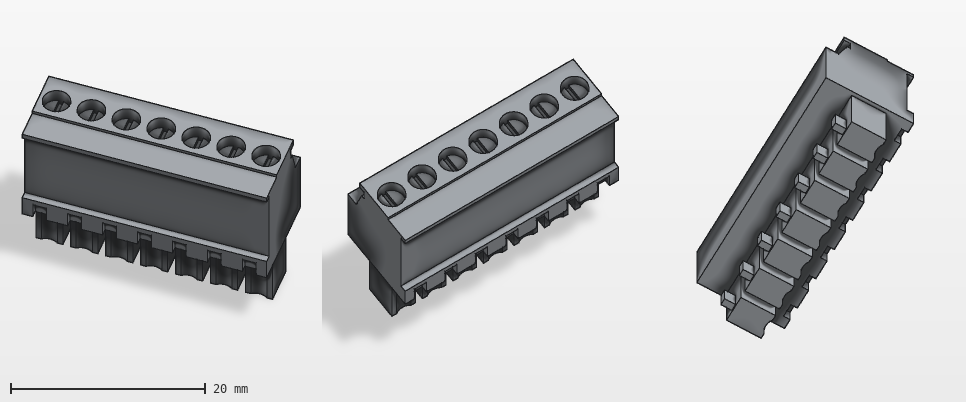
import cadquery as cq

LENGTH = 26.67
CONTACT_COUNT = 7
PITCH = LENGTH / CONTACT_COUNT

TOTAL_HEIGHT = 19.1
FRONT_LIP_TOP = 18.75
REAR_LIP_BOTTOM = 18.32
FRONT_LIP_BOTTOM = 18.15
SLOPE_TOP = 17.12
SHOULDER_HEIGHT = 14.22
FOOT_TOP = 9.07
HOUSING_BOTTOM = 6.6

TOTAL_DEPTH = 10.4
SLOPE_BOTTOM_DEPTH = 8.88
REAR_LIP_DEPTH = 8.25
SLOPE_TOP_DEPTH = 7.9
REAR_NECK_DEPTH = 7.47
TOP_STEP_DEPTH = 3.1
FRONT_RECESS_DEPTH = 0.77

NOTCH_WIDTH = 1.5
NOTCH_HEIGHT = 1.81

LEG_WIDTH = 2.95
LEG_FRONT = 3.01
LEG_REAR = 7.12
GROOVE_WIDTH = 1.75
GROOVE_DEPTH = 0.3

KEY_WIDTH = 0.77
KEY_PROJECTION = 1.3
KEY_BOTTOM = 0.35
KEY_TOP = 2.55

SCREW_DIAMETER = 2.93
SCREW_AXIS_DEPTH = 5.23
SCREW_RECESS = 1.5
SCREW_HEIGHT = 2.0
SCREW_TOP = TOTAL_HEIGHT - SCREW_RECESS
SCREW_BOTTOM = SCREW_TOP - SCREW_HEIGHT
SLOT_WIDTH = 0.5
SLOT_DEPTH = 0.5


def contact_positions():
    """X coordinate of the centre of each contact."""
    return [(i + 0.5) * PITCH for i in range(CONTACT_COUNT)]


def block(center_x, width, front, rear, bottom, top):
    """Axis-aligned block centred on center_x."""
    solid = cq.Workplane("XY").box(width, rear - front, top - bottom, centered=(True, False, False))
    return solid.translate((center_x, front, bottom))


def make_shell():
    """Constant cross-section of the housing, extruded along the contact row."""
    outline = [
        (0, HOUSING_BOTTOM),
        (TOTAL_DEPTH, HOUSING_BOTTOM),
        (TOTAL_DEPTH, SHOULDER_HEIGHT),
        (SLOPE_BOTTOM_DEPTH, SHOULDER_HEIGHT),
        (SLOPE_TOP_DEPTH, SLOPE_TOP),
        (REAR_NECK_DEPTH, SLOPE_TOP),
        (REAR_NECK_DEPTH, REAR_LIP_BOTTOM),
        (REAR_LIP_DEPTH, REAR_LIP_BOTTOM),
        (REAR_LIP_DEPTH, TOTAL_HEIGHT),
        (TOP_STEP_DEPTH, TOTAL_HEIGHT),
        (TOP_STEP_DEPTH, FRONT_LIP_TOP),
        (0, FRONT_LIP_TOP),
        (0, FRONT_LIP_BOTTOM),
        (FRONT_RECESS_DEPTH, FRONT_LIP_BOTTOM),
        (FRONT_RECESS_DEPTH, FOOT_TOP),
        (0, FOOT_TOP),
    ]
    return cq.Workplane("YZ").polyline(outline).close().extrude(LENGTH)


def make_leg(center_x):
    """Plug leg with a shallow round groove down its front and a key on its rear."""
    half_leg = LEG_WIDTH / 2
    half_groove = GROOVE_WIDTH / 2
    leg = (
        cq.Workplane("XY")
        .moveTo(center_x - half_leg, LEG_FRONT)
        .lineTo(center_x - half_groove, LEG_FRONT)
        .threePointArc((center_x, LEG_FRONT + GROOVE_DEPTH), (center_x + half_groove, LEG_FRONT))
        .lineTo(center_x + half_leg, LEG_FRONT)
        .lineTo(center_x + half_leg, LEG_REAR)
        .lineTo(center_x - half_leg, LEG_REAR)
        .close()
        .extrude(HOUSING_BOTTOM)
    )
    key = block(center_x, KEY_WIDTH, LEG_REAR, LEG_REAR + KEY_PROJECTION, KEY_BOTTOM, KEY_TOP)
    return leg.union(key)


def screw_cylinder(center_x, bottom, top):
    """Upright cylinder of screw diameter on a screw axis."""
    return (
        cq.Workplane("XY", origin=(center_x, SCREW_AXIS_DEPTH, bottom))
        .circle(SCREW_DIAMETER / 2)
        .extrude(top - bottom)
    )


def make_housing():
    """Housing with its legs, front notches and screw holes."""
    housing = make_shell()
    for x in contact_positions():
        notch = block(x, NOTCH_WIDTH, 0, FRONT_RECESS_DEPTH, HOUSING_BOTTOM, HOUSING_BOTTOM + NOTCH_HEIGHT)
        screw_hole = screw_cylinder(x, SCREW_BOTTOM, TOTAL_HEIGHT)
        housing = housing.union(make_leg(x)).cut(notch).cut(screw_hole)
    return housing


def make_screw(center_x):
    """Round screw with a straight driver slot running front to back."""
    radius = SCREW_DIAMETER / 2
    slot = block(
        center_x,
        SLOT_WIDTH,
        SCREW_AXIS_DEPTH - radius,
        SCREW_AXIS_DEPTH + radius,
        SCREW_TOP - SLOT_DEPTH,
        SCREW_TOP,
    )
    return screw_cylinder(center_x, SCREW_BOTTOM, SCREW_TOP).cut(slot)


housing = make_housing()
screws = [make_screw(x) for x in contact_positions()]

result = cq.Compound.makeCompound([housing.val(), *[screw.val() for screw in screws]])